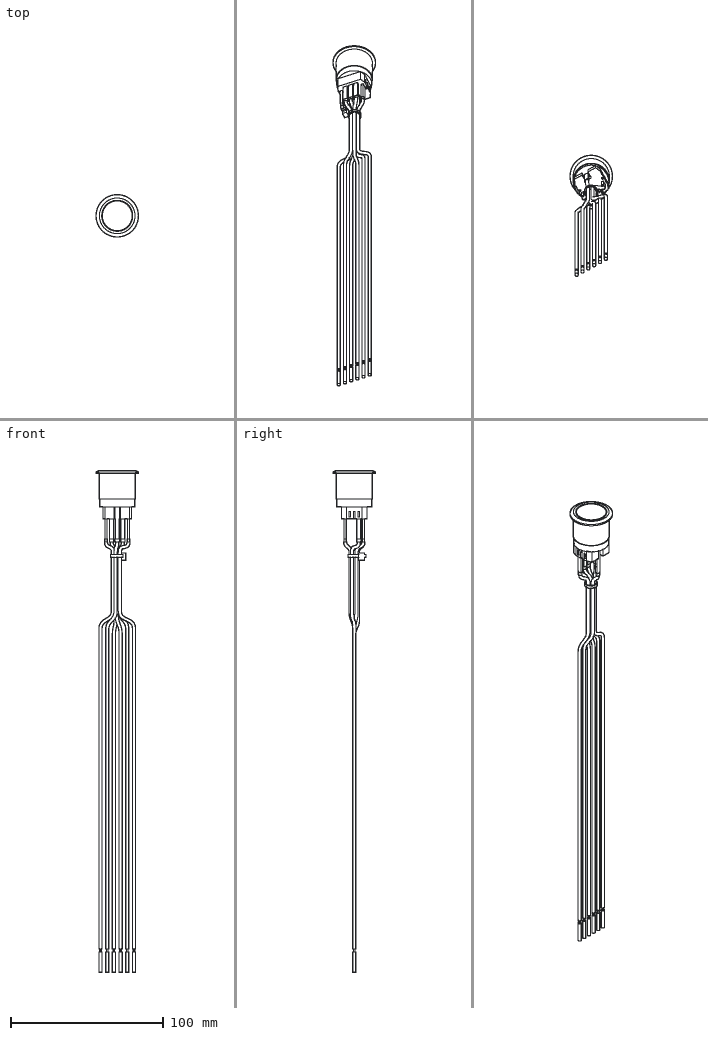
import cadquery as cq
import math

TOTAL_LENGTH = 330.0

FLANGE_DIAMETER = 28.0
BEZEL_TOP_DIAMETER = 23.4
BEZEL_CONE_HEIGHT = 1.0
FLANGE_BOTTOM_Z = -2.0
BARREL_DIAMETER = 23.85
BARREL_BOTTOM_Z = -19.0
BASE_DIAMETER = 23.1
BASE_BOTTOM_Z = -24.0
RING_GROOVE_OUTER_DIAMETER = 20.4
RING_GROOVE_INNER_DIAMETER = 19.6
RING_GROOVE_DEPTH = 0.3

BLOCK_HALF_X = 9.5
BLOCK_HALF_Y = 8.5
BLOCK_SIDE_FLAT_HALF_Y = 5.0
BLOCK_FRONT_FLAT_HALF_X = 8.0
BLOCK_BOTTOM_Z = -32.0
NOTCH_WIDTH = 4.4
NOTCH_DEPTH = 4.5
SIDE_SLOT_WIDTH = 1.1
SIDE_SLOT_PITCH = 3.0
SIDE_SLOT_DEPTH = 1.5
SIDE_SLOT_TOP_Z = -27.2
SIDE_SLOT_BOTTOM_Z = -30.7

BLADE_WIDTH = 2.8
BLADE_THICKNESS = 1.5
BLADE_BOTTOM_Z = -45.0
SLEEVE_WIDTH = 3.0
SLEEVE_THICKNESS = 1.75
SLEEVE_BOTTOM_Z = -47.0

WIRE_DIAMETER = 2.2
WIRE_RADIUS = WIRE_DIAMETER / 2
CORE_DIAMETER = 1.1
WIRE_PITCH = 4.4
GATHER_BOTTOM_Z = -53.8
STRIP_TOP_Z = -314.6
STRIP_GAP = 2.0
STRIP_BOTTOM_Z = STRIP_TOP_Z - STRIP_GAP

BUNDLE_CENTRE_X = -0.3
BUNDLE_RADIUS = 2.55

TIE_TOP_Z = -55.2
TIE_BOTTOM_Z = -57.2
TIE_INNER_RADIUS = BUNDLE_RADIUS + 0.8
TIE_OUTER_RADIUS = 4.2
TIE_HEAD_CENTRE = (4.2, 4.8)
TIE_HEAD_SIZE = (3.0, 4.0)
TIE_HEAD_TOP_Z = -54.2
TIE_HEAD_BOTTOM_Z = -59.2
TIE_TAIL_LENGTH = 1.0


def bundle_point(step):
    """Centre of a wire in the ring of five, counted from the -X side."""
    angle = math.pi + step * 2 * math.pi / 5
    return (
        BUNDLE_CENTRE_X + BUNDLE_RADIUS * math.cos(angle),
        BUNDLE_RADIUS * math.sin(angle),
    )


WIRES = [
    ((-7.4, 3.0), 90, bundle_point(0), -2.5, -92.5, -104.0),
    ((0.0, -6.0), 0, bundle_point(1), -1.5, -92.5, -105.0),
    ((-3.7, 6.0), 0, bundle_point(4), -0.5, -98.5, -108.0),
    ((0.0, 6.0), 0, (BUNDLE_CENTRE_X, 0.0), 0.5, -95.5, -107.0),
    ((3.7, 6.0), 0, bundle_point(3), 1.5, -92.5, -104.5),
    ((7.4, 3.0), 90, bundle_point(2), 2.5, -92.5, -104.0),
]


def vertical_cylinder(diameter, centre, top_z, bottom_z):
    return (
        cq.Workplane("XY", origin=(centre[0], centre[1], bottom_z))
        .circle(diameter / 2)
        .extrude(top_z - bottom_z)
    )


def make_head():
    """Bezel cone, flange, barrel and base, turned about Z."""
    head = (
        cq.Workplane("XZ")
        .moveTo(0, 0)
        .lineTo(BEZEL_TOP_DIAMETER / 2, 0)
        .lineTo(FLANGE_DIAMETER / 2, -BEZEL_CONE_HEIGHT)
        .lineTo(FLANGE_DIAMETER / 2, FLANGE_BOTTOM_Z)
        .lineTo(BARREL_DIAMETER / 2, FLANGE_BOTTOM_Z)
        .lineTo(BARREL_DIAMETER / 2, BARREL_BOTTOM_Z)
        .lineTo(BASE_DIAMETER / 2, BARREL_BOTTOM_Z)
        .lineTo(BASE_DIAMETER / 2, BASE_BOTTOM_Z)
        .lineTo(0, BASE_BOTTOM_Z)
        .close()
        .revolve(360, (0, 0, 0), (0, 1, 0))
    )
    groove = (
        cq.Workplane("XY")
        .circle(RING_GROOVE_OUTER_DIAMETER / 2)
        .circle(RING_GROOVE_INNER_DIAMETER / 2)
        .extrude(-RING_GROOVE_DEPTH)
    )
    return head.cut(groove)


def make_block():
    """Eight-sided block with a front notch and three slots in each X side."""
    corners = [
        (BLOCK_FRONT_FLAT_HALF_X, -BLOCK_HALF_Y),
        (BLOCK_HALF_X, -BLOCK_SIDE_FLAT_HALF_Y),
        (BLOCK_HALF_X, BLOCK_SIDE_FLAT_HALF_Y),
        (BLOCK_FRONT_FLAT_HALF_X, BLOCK_HALF_Y),
    ]
    outline = corners + [(-x, y) for x, y in reversed(corners)]
    height = BASE_BOTTOM_Z - BLOCK_BOTTOM_Z
    block = cq.Workplane("XY").workplane(offset=BLOCK_BOTTOM_Z).polyline(outline).close().extrude(height)

    notch = cq.Workplane("XY").box(NOTCH_WIDTH, NOTCH_DEPTH, height, centered=(True, False, False))
    block = block.cut(notch.translate((0, -BLOCK_HALF_Y, BLOCK_BOTTOM_Z)))

    for side in (-1, 1):
        for step in (-1, 0, 1):
            bottom_z = BLOCK_BOTTOM_Z if step == 0 else SIDE_SLOT_BOTTOM_Z
            slot = cq.Workplane("XY").box(
                2 * SIDE_SLOT_DEPTH, SIDE_SLOT_WIDTH, SIDE_SLOT_TOP_Z - bottom_z, centered=(True, True, False)
            )
            block = block.cut(slot.translate((side * BLOCK_HALF_X, step * SIDE_SLOT_PITCH, bottom_z)))
    return block


def make_terminal(centre, turn):
    """Flat blade hanging from the head through the block, with a sleeve at its end."""
    blade = (
        cq.Workplane("XY", origin=(0, 0, BLADE_BOTTOM_Z))
        .rect(BLADE_WIDTH, BLADE_THICKNESS)
        .extrude(BASE_BOTTOM_Z - BLADE_BOTTOM_Z)
    )
    sleeve = (
        cq.Workplane("XY", origin=(0, 0, SLEEVE_BOTTOM_Z))
        .slot2D(SLEEVE_WIDTH, SLEEVE_THICKNESS)
        .extrude(BLADE_BOTTOM_Z - SLEEVE_BOTTOM_Z)
    )
    terminal = blade.union(sleeve)
    return terminal.rotate((0, 0, 0), (0, 0, 1), turn).translate((centre[0], centre[1], 0))


def make_bend(start, end, top_z, bottom_z):
    """Smooth S-bend of wire, vertical at both ends."""
    path = cq.Workplane("XY").spline(
        [(start[0], start[1], top_z), (end[0], end[1], bottom_z)],
        tangents=[(0, 0, -1), (0, 0, -1)],
    )
    profile = cq.Workplane("XY", origin=(start[0], start[1], top_z)).circle(WIRE_RADIUS)
    return profile.sweep(path)


def make_wire(terminal, turn, bundled, row_step, fan_top_z, fan_bottom_z):
    """One wire from its terminal, through the bundle, to its stripped end."""
    fanned = (row_step * WIRE_PITCH, 0.0)
    pieces = [
        make_bend(terminal, bundled, SLEEVE_BOTTOM_Z, GATHER_BOTTOM_Z),
        vertical_cylinder(WIRE_DIAMETER, bundled, GATHER_BOTTOM_Z, fan_top_z),
        make_bend(bundled, fanned, fan_top_z, fan_bottom_z),
        vertical_cylinder(WIRE_DIAMETER, fanned, fan_bottom_z, STRIP_TOP_Z),
        vertical_cylinder(CORE_DIAMETER, fanned, STRIP_TOP_Z, STRIP_BOTTOM_Z),
        vertical_cylinder(WIRE_DIAMETER, fanned, STRIP_BOTTOM_Z, -TOTAL_LENGTH),
    ]
    wire = make_terminal(terminal, turn)
    for piece in pieces:
        wire = wire.union(piece)
    return wire


def make_tie():
    """Band around the bundle, its locking head at the +X +Y corner and the tail end past the head."""
    band = (
        cq.Workplane("XY", origin=(BUNDLE_CENTRE_X, 0, TIE_BOTTOM_Z))
        .circle(TIE_OUTER_RADIUS)
        .circle(TIE_INNER_RADIUS)
        .extrude(TIE_TOP_Z - TIE_BOTTOM_Z)
    )
    head = (
        cq.Workplane("XY", origin=(*TIE_HEAD_CENTRE, TIE_HEAD_BOTTOM_Z))
        .rect(*TIE_HEAD_SIZE)
        .extrude(TIE_HEAD_TOP_Z - TIE_HEAD_BOTTOM_Z)
    )
    tail = (
        cq.Workplane("XY", origin=(TIE_HEAD_CENTRE[0], TIE_HEAD_CENTRE[1] + TIE_TAIL_LENGTH, TIE_BOTTOM_Z))
        .rect(*TIE_HEAD_SIZE)
        .extrude(TIE_TOP_Z - TIE_BOTTOM_Z)
    )
    return band.union(head).union(tail)


result = make_head().union(make_block())
for wire_layout in WIRES:
    result = result.union(make_wire(*wire_layout))
result = result.union(make_tie())